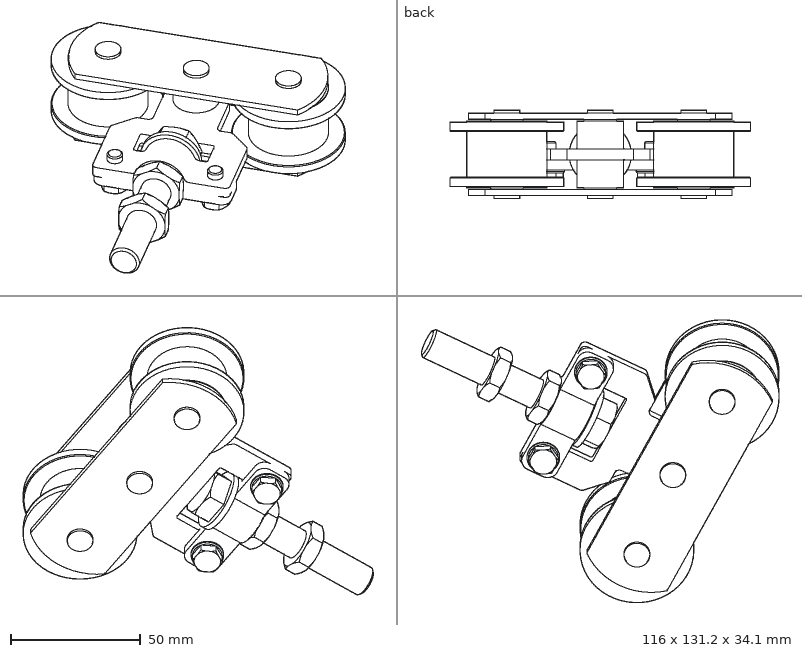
import cadquery as cq
import math


PLATE_WIDTH = 34.8
PLATE_LENGTH = 101.7
PLATE_STRAIGHT_LENGTH = 89.0
PLATE_INNER_Z = 13.5
PLATE_OUTER_Z = 15.9
PIN_DIAMETER = 10.0
PIN_LENGTH = 34.1
COLLAR_DIAMETER = 12.6

OVERALL_WIDTH = 116.0
FLANGE_DIAMETER = 44.0
TREAD_DIAMETER = 31.0
WHEEL_LENGTH = 25.7
FLANGE_INNER_Z = 8.8
FLANGE_OUTER_Z = 12.5
FLANGE_CHAMFER = 0.4

PIVOT_Y = -2.9
SPACER_DIAMETER = 18.0

BRACKET_WIDTH = 54.8
BRACKET_THICKNESS = 4.3
BRACKET_END_Y = -55.9
NECK_WIDTH = 25.7
SHOULDER_Y = -20.5
SHOULDER_WIDTH = 38.3
SHOULDER_DROP = 7.9
CORNER_RADIUS = 2.0
WINDOW_WIDTH = 29.7
WINDOW_TOP_Y = -30.3
WINDOW_BOTTOM_Y = -41.0
WINDOW_RADIUS = 0.8
PAD_THICKNESS = 4
PAD_RADIUS = 4.1
BARREL_DIAMETER = 20.5
BARREL_FILLET = 2.1

ROD_DIAMETER = 12.0
ROD_CHAMFER = 0.9
OVERALL_LENGTH = 131.2
HEAD_FLATS = 18.0
HEAD_LENGTH = 7.2
WASHER_DIAMETER = 24.0
WASHER_THICKNESS = 2.2
NUT_FLATS = 18.5
NUT_LENGTH = 6.0
OUTER_NUT_Y = -77.0

HEX_CHAMFER_DEPTH = 0.6
HEX_CHAMFER_INSET = 0.9

SCREW_X = 20.1
SCREW_Y = -48.7
SCREW_DIAMETER = 6.0
SCREW_CHAMFER = 0.5
SCREW_TOP_Z = 5.0
SCREW_WASHER_DIAMETER = 12.6
SCREW_WASHER_THICKNESS = 1.0
SCREW_WASHER_CHAMFER = 0.5
SCREW_HEAD_FLATS = 10.1
SCREW_HEAD_LENGTH = 3.5

wheel_x = (OVERALL_WIDTH - FLANGE_DIAMETER) / 2
rod_end_y = FLANGE_DIAMETER / 2 - OVERALL_LENGTH
bracket_top_z = BRACKET_THICKNESS / 2
pad_bottom_z = -bracket_top_z - PAD_THICKNESS


def upright_cylinder(x, y, diameter, z_low, z_high):
    base = cq.Workplane("XY", origin=(x, y, z_low))
    return base.circle(diameter / 2).extrude(z_high - z_low)


def cylinder_along_bolt(diameter, y_start, y_end):
    base = cq.Workplane("XZ", origin=(0, y_start, 0))
    return base.circle(diameter / 2).extrude(y_start - y_end)


def chamfered_hex(flats, length, chamfer_low, chamfer_high):
    """Hexagonal prism along +Z, corners on X, with its corners turned down at the chosen ends."""
    corner_diameter = flats / math.cos(math.pi / 6)
    prism = cq.Workplane("XY").polygon(6, corner_diameter).extrude(length)
    blank = cq.Workplane("XY").circle(corner_diameter / 2).extrude(length)
    corner_height = (corner_diameter - flats) / 2
    depth = HEX_CHAMFER_DEPTH * corner_height
    inset = HEX_CHAMFER_INSET * corner_height
    if chamfer_low:
        blank = blank.faces("<Z").chamfer(depth, inset)
    if chamfer_high:
        blank = blank.faces(">Z").chamfer(depth, inset)
    return prism.intersect(blank)


def side_plate(z_low):
    half_straight = PLATE_STRAIGHT_LENGTH / 2
    half_length = PLATE_LENGTH / 2
    half_width = PLATE_WIDTH / 2
    return (
        cq.Workplane("XY", origin=(0, 0, z_low))
        .moveTo(-half_straight, -half_width)
        .lineTo(half_straight, -half_width)
        .threePointArc((half_length, 0), (half_straight, half_width))
        .lineTo(-half_straight, half_width)
        .threePointArc((-half_length, 0), (-half_straight, -half_width))
        .close()
        .extrude(PLATE_OUTER_Z - PLATE_INNER_Z)
    )


def pin_with_collar(x, y):
    pin = upright_cylinder(x, y, PIN_DIAMETER, -PIN_LENGTH / 2, PIN_LENGTH / 2)
    return pin.union(upright_cylinder(x, y, COLLAR_DIAMETER, -PLATE_INNER_Z, PLATE_INNER_Z))


def wheel(x):
    body = upright_cylinder(x, 0, TREAD_DIAMETER, -WHEEL_LENGTH / 2, WHEEL_LENGTH / 2)
    upper = upright_cylinder(x, 0, FLANGE_DIAMETER, FLANGE_INNER_Z, FLANGE_OUTER_Z)
    upper = upper.faces("<Z").chamfer(FLANGE_CHAMFER)
    return body.union(upper).union(upper.mirror("XY"))


def bracket_plate():
    half_neck = NECK_WIDTH / 2
    half_shoulder = SHOULDER_WIDTH / 2
    half_width = BRACKET_WIDTH / 2
    side_top_y = SHOULDER_Y - SHOULDER_DROP
    right_side = [
        (half_neck, SHOULDER_Y),
        (half_shoulder, SHOULDER_Y),
        (half_width, side_top_y),
        (half_width, BRACKET_END_Y),
    ]
    left_side = [(-x, y) for x, y in reversed(right_side)]
    plate = cq.Workplane("XY", origin=(0, 0, -bracket_top_z)).moveTo(half_neck, PIVOT_Y)
    for x, y in right_side + left_side:
        plate = plate.lineTo(x, y)
    plate = (
        plate.lineTo(-half_neck, PIVOT_Y)
        .threePointArc((0, PIVOT_Y + half_neck), (half_neck, PIVOT_Y))
        .close()
        .extrude(BRACKET_THICKNESS)
    )
    rounded = [(half_neck, SHOULDER_Y), (half_width, side_top_y), (half_width, BRACKET_END_Y)]
    for x, y in rounded:
        for side in (-1, 1):
            corner = cq.selectors.NearestToPointSelector((side * x, y, 0))
            plate = plate.edges("|Z").edges(corner).fillet(CORNER_RADIUS)
    return plate


def barrel_fillets():
    """Concave fillets between the barrel and the upper face of the bracket."""
    barrel_radius = BARREL_DIAMETER / 2
    centre_z = bracket_top_z + BARREL_FILLET
    reach = barrel_radius + BARREL_FILLET
    centre_x = math.sqrt(reach**2 - centre_z**2)
    length = WINDOW_BOTTOM_Y - BRACKET_END_Y
    tangent_x = centre_x * barrel_radius / reach
    tangent_z = centre_z * barrel_radius / reach
    web = (
        cq.Workplane("XZ", origin=(0, WINDOW_BOTTOM_Y, 0))
        .polyline([(0, 0), (centre_x, 0), (centre_x, centre_z), (tangent_x, tangent_z)])
        .close()
        .extrude(length)
    )
    hollow = (
        cq.Workplane("XZ", origin=(0, WINDOW_BOTTOM_Y, 0))
        .center(centre_x, centre_z)
        .circle(BARREL_FILLET)
        .extrude(length)
    )
    right = web.cut(hollow)
    return right.union(right.mirror("YZ"))


def bracket():
    pad_length = WINDOW_BOTTOM_Y - BRACKET_END_Y
    pad_middle_y = (WINDOW_BOTTOM_Y + BRACKET_END_Y) / 2
    pad = (
        cq.Workplane("XY", origin=(0, pad_middle_y, pad_bottom_z))
        .rect(BRACKET_WIDTH, pad_length)
        .extrude(PAD_THICKNESS)
        .edges("|Z")
        .fillet(PAD_RADIUS)
    )
    window = (
        cq.Workplane("XY", origin=(0, (WINDOW_TOP_Y + WINDOW_BOTTOM_Y) / 2, -bracket_top_z))
        .rect(WINDOW_WIDTH, WINDOW_TOP_Y - WINDOW_BOTTOM_Y)
        .extrude(BRACKET_THICKNESS)
        .edges("|Z")
        .fillet(WINDOW_RADIUS)
    )
    barrel = cylinder_along_bolt(BARREL_DIAMETER, WINDOW_BOTTOM_Y, BRACKET_END_Y)
    return bracket_plate().cut(window).union(pad).union(barrel).union(barrel_fillets())


def hex_along_bolt(flats, length, y_start, turn, chamfer_start, chamfer_end):
    """Hexagonal prism running from y_start toward -Y, turned about the bolt axis."""
    shape = chamfered_hex(flats, length, chamfer_start, chamfer_end)
    turned = shape.rotate((0, 0, 0), (0, 0, 1), turn)
    return turned.rotate((0, 0, 0), (1, 0, 0), 90).translate((0, y_start, 0))


def suspension_bolt():
    washer_start_y = WINDOW_BOTTOM_Y + WASHER_THICKNESS
    rod = cylinder_along_bolt(ROD_DIAMETER, washer_start_y, rod_end_y)
    rod = rod.faces("<Y").chamfer(ROD_CHAMFER)
    washer = cylinder_along_bolt(WASHER_DIAMETER, washer_start_y, WINDOW_BOTTOM_Y)
    head = hex_along_bolt(HEAD_FLATS, HEAD_LENGTH, washer_start_y + HEAD_LENGTH, 0, True, False)
    bolt = rod.union(washer).union(head)
    for nut_y in (BRACKET_END_Y, OUTER_NUT_Y):
        bolt = bolt.union(hex_along_bolt(NUT_FLATS, NUT_LENGTH, nut_y, 90, True, True))
    return bolt


def clamp_screw(x):
    washer_bottom_z = pad_bottom_z - SCREW_WASHER_THICKNESS
    head_bottom_z = washer_bottom_z - SCREW_HEAD_LENGTH
    shank = upright_cylinder(x, SCREW_Y, SCREW_DIAMETER, washer_bottom_z, SCREW_TOP_Z)
    shank = shank.faces(">Z").chamfer(SCREW_CHAMFER)
    washer = upright_cylinder(x, SCREW_Y, SCREW_WASHER_DIAMETER, washer_bottom_z, pad_bottom_z)
    washer = washer.faces("<Z").chamfer(SCREW_WASHER_CHAMFER)
    head = chamfered_hex(SCREW_HEAD_FLATS, SCREW_HEAD_LENGTH, True, False)
    return shank.union(washer).union(head.translate((x, SCREW_Y, head_bottom_z)))


spacer = upright_cylinder(0, PIVOT_Y, SPACER_DIAMETER, -WHEEL_LENGTH / 2, WHEEL_LENGTH / 2)
result = spacer.union(pin_with_collar(0, PIVOT_Y))
for side in (-1, 1):
    result = result.union(wheel(side * wheel_x))
    result = result.union(pin_with_collar(side * wheel_x, 0))
for plate_z in (PLATE_INNER_Z, -PLATE_OUTER_Z):
    result = result.union(side_plate(plate_z))
result = result.union(bracket()).union(suspension_bolt())
for side in (-1, 1):
    result = result.union(clamp_screw(side * SCREW_X))